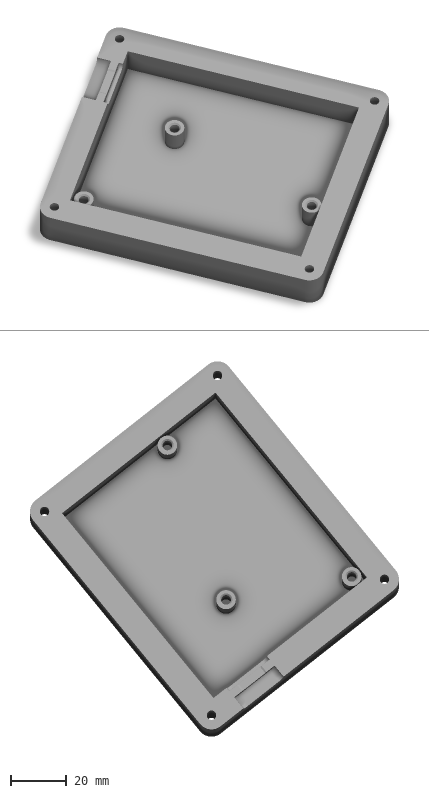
import cadquery as cq

length = 105.7
width = 89.7
height = 13.0
corner_radius = 5.2

cavity_length = 86.5
cavity_width = 70.3
floor_thickness = 2.6

corner_hole_diameter = 3.4

standoff_centers = [(-17.7, 8.9), (39.4, -10.0), (-39.2, -31.4)]
standoff_diameter = 7.0
standoff_height = 7.9
standoff_bore_diameter = 3.5
standoff_bore_chamfer = 0.5

slot_center_y = 20.0
slot_width = 18.5
slot_depth = 2.0
rib_outer_x = -47.7
rib_thickness = 2.9

notch_top_width = 11.1
notch_bottom_width = 9.9
notch_depth = 0.3

cavity_wall_x = -cavity_length / 2
rib_inner_x = rib_outer_x + rib_thickness


def make_tray():
    body = cq.Workplane("XY").box(length, width, height, centered=(True, True, False))
    body = body.edges("|Z").fillet(corner_radius)
    cavity = (
        cq.Workplane("XY", origin=(0, 0, floor_thickness))
        .rect(cavity_length, cavity_width)
        .extrude(height - floor_thickness)
    )
    corner_holes = (
        cq.Workplane("XY")
        .rect(length - 2 * corner_radius, width - 2 * corner_radius, forConstruction=True)
        .vertices()
        .circle(corner_hole_diameter / 2)
        .extrude(height)
    )
    return body.cut(cavity).cut(corner_holes)


def make_standoffs():
    return (
        cq.Workplane("XY", origin=(0, 0, floor_thickness))
        .pushPoints(standoff_centers)
        .circle(standoff_diameter / 2)
        .circle(standoff_bore_diameter / 2)
        .extrude(standoff_height)
        .faces(">Z")
        .edges(cq.selectors.RadiusNthSelector(0))
        .chamfer(standoff_bore_chamfer)
    )


def make_slot_cutter(start_x, end_x):
    """Slot segment whose sides curve into its flat bottom as quarter circles."""
    half_width = slot_width / 2
    half_flat = half_width - slot_depth
    return (
        cq.Workplane("YZ", origin=(start_x, slot_center_y, height))
        .moveTo(-half_width, 0)
        .radiusArc((-half_flat, -slot_depth), -slot_depth)
        .lineTo(half_flat, -slot_depth)
        .radiusArc((half_width, 0), -slot_depth)
        .close()
        .extrude(end_x - start_x)
    )


def make_notch_cutter():
    return (
        cq.Workplane("YZ", origin=(rib_outer_x, slot_center_y, height))
        .moveTo(-notch_top_width / 2, 0)
        .lineTo(-notch_bottom_width / 2, -notch_depth)
        .lineTo(notch_bottom_width / 2, -notch_depth)
        .lineTo(notch_top_width / 2, 0)
        .close()
        .extrude(rib_thickness)
    )


result = (
    make_tray()
    .union(make_standoffs())
    .cut(make_slot_cutter(-length / 2, rib_outer_x))
    .cut(make_slot_cutter(rib_inner_x, cavity_wall_x))
    .cut(make_notch_cutter())
)